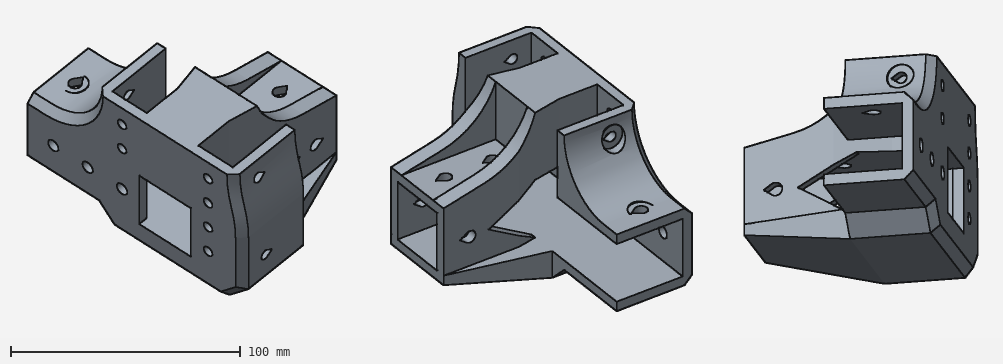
import cadquery as cq
import math


inner = 30.0
wall = 5.0
half_in = inner / 2
half_out = half_in + wall

body_depth = 40.0
total_depth = 90.0
top_z = 50.0
arm_end_x = -80.0
tower_half_width = 40.0
inner_wall_x = tower_half_width - wall
saddle_radius = 30.0
saddle_x = -tower_half_width - saddle_radius
bulge_x = 45.0
s_curve_end_z = 14.0
bottom_z = -29.0
bottom_right_x = 34.0
front_chamfer = 4.0

flange_left_x = -tower_half_width + (-half_out - bottom_z)
rib_width = 8.0
rib_tangent_y = 68.0
rib_tangent_z = 25.1
flare_root_y = 25.0
flare_end_y = 50.0
window_tip_y = body_depth + inner * math.sin(math.radians(60))

screw_d = 5.0
bolt_d = 6.0
counterbore_d = 12.0
screw_x = 25.0
screw_zs_left = (40.0, 25.0)
screw_zs_right = (40.0, 25.0, 10.0, -5.0)
bolt_xs = (-65.0, -45.0, -25.0)
side_screw_y = 15.0
side_screw_z_high = 40.0
side_screw_z_low = -5.0
arm_bolt_y = 20.0
tail_bolt_ys = (50.0, 75.0)
tail_cross_bolt_y = window_tip_y + 10.0
teardrop_tip_ratio = math.sqrt(3)


def box(x0, x1, y0, y1, z0, z1):
    """Box between two limits on each axis."""
    return cq.Workplane("XY").box(x1 - x0, y1 - y0, z1 - z0, centered=False).translate((x0, y0, z0))


def front_plane():
    """XZ sketch plane of the front face; negative extrusions go into the part."""
    return cq.Workplane("XZ")


def teardrop(diameter, length):
    """Hole along +Z whose point toward +Y is formed by two lines tangent to the circle."""
    r = diameter / 2
    tip_y = teardrop_tip_ratio * r
    tangent_y = r**2 / tip_y
    tangent_x = math.sqrt(r**2 - tangent_y**2)
    return (
        cq.Workplane("XY")
        .moveTo(0, tip_y)
        .lineTo(tangent_x, tangent_y)
        .threePointArc((0, -r), (-tangent_x, tangent_y))
        .close()
        .extrude(length)
    )


def teardrop_z(diameter, x, y, z0, z1):
    return teardrop(diameter, z1 - z0).translate((x, y, z0))


def teardrop_x(diameter, y, z, x0, x1):
    drop = teardrop(diameter, x1 - x0).rotate((0, 0, 0), (0, 1, 0), 90)
    return drop.translate((x0, y, z))


def body():
    """Front-to-back prism of the body outline, its front rim chamfered but for the two open ends."""
    s_dx = (bulge_x - tower_half_width) / 2
    s_dz = (top_z - s_curve_end_z) / 2
    s_radius = (s_dx**2 + s_dz**2) / (2 * s_dx)
    s_mid = (tower_half_width + s_dx, top_z - s_dz)
    saddle_offset = saddle_radius * math.sqrt(0.5)
    bottom_right_z = bottom_z + (bulge_x - bottom_right_x)
    solid = (
        front_plane()
        .moveTo(arm_end_x, -half_out)
        .lineTo(arm_end_x, half_out)
        .lineTo(saddle_x, half_out)
        .threePointArc(
            (saddle_x + saddle_offset, top_z - saddle_offset),
            (-tower_half_width, top_z),
        )
        .lineTo(tower_half_width, top_z)
        .radiusArc(s_mid, -s_radius)
        .radiusArc((bulge_x, s_curve_end_z), s_radius)
        .lineTo(bulge_x, bottom_right_z)
        .lineTo(bottom_right_x, bottom_z)
        .lineTo(flange_left_x, bottom_z)
        .lineTo(-tower_half_width, -half_out)
        .close()
        .extrude(-body_depth)
    )
    front_face = solid.faces("<Y")
    open_ends = front_face.edges("<X or >Z").vals()
    rim = [edge for edge in front_face.edges().vals() if not any(edge.isSame(end) for end in open_ends)]
    return solid.newObject(rim).chamfer(front_chamfer)


def pockets():
    """Two pockets, open at the top and back, on either side of the solid core."""
    left = box(-inner_wall_x, -half_in, wall, body_depth, -half_in, top_z)
    right = box(half_in, inner_wall_x, wall, body_depth, -half_in, top_z)
    return left.union(right)


def tail_plan():
    """Full-height block bounded by the flared tail sides."""
    return (
        cq.Workplane("XY", origin=(0, 0, -half_out))
        .moveTo(-half_in, flare_root_y)
        .lineTo(-half_out, flare_end_y)
        .lineTo(-half_out, total_depth)
        .lineTo(half_out, total_depth)
        .lineTo(half_out, flare_end_y)
        .lineTo(half_in, flare_root_y)
        .close()
        .extrude(top_z + half_out)
    )


def tail():
    """Square tube with two gusset ribs on top; the sides flare in toward the core."""
    slope = math.atan2(rib_tangent_z - half_out, total_depth - rib_tangent_y)
    chord_y = rib_tangent_y - body_depth
    chord_z = top_z - rib_tangent_z
    rise_off_line = chord_z * math.cos(slope) - chord_y * math.sin(slope)
    rib_radius = (chord_y**2 + chord_z**2) / (2 * rise_off_line)
    profile = (
        cq.Workplane("YZ", origin=(-half_out, 0, 0))
        .moveTo(flare_root_y, -half_out)
        .lineTo(flare_root_y, top_z)
        .lineTo(body_depth, top_z)
        .radiusArc((rib_tangent_y, rib_tangent_z), -rib_radius)
        .lineTo(total_depth, half_out)
        .lineTo(total_depth, -half_out)
        .close()
        .extrude(2 * half_out)
    )
    gap = half_out - rib_width
    between_ribs = box(-gap, gap, body_depth, total_depth, half_out, top_z)
    return profile.intersect(tail_plan()).cut(between_ribs)


def flange():
    """Tapered floor of the tail, wide and deep at the body, as wide as the tube at the back."""
    plan = (
        cq.Workplane("XY", origin=(0, 0, bottom_z))
        .polyline([
            (flange_left_x, body_depth),
            (-half_out, total_depth),
            (half_out, total_depth),
            (bottom_right_x, body_depth),
        ])
        .close()
        .extrude(-half_in - bottom_z)
    )
    side = (
        cq.Workplane("YZ", origin=(flange_left_x, 0, 0))
        .polyline([
            (body_depth, bottom_z),
            (body_depth, -half_in),
            (total_depth, -half_in),
            (total_depth, -half_out),
        ])
        .close()
        .extrude(bottom_right_x - flange_left_x)
    )
    return plan.intersect(side)


def tail_window():
    """Equilateral point of the arm channel, cut sideways through the tail."""
    return (
        cq.Workplane("YZ", origin=(-half_out, 0, 0))
        .polyline([
            (body_depth, -half_in),
            (body_depth, half_in),
            (window_tip_y, 0),
        ])
        .close()
        .extrude(2 * half_out)
    )


def front_holes():
    """Round holes through the front wall."""
    screws = [(-screw_x, z) for z in screw_zs_left] + [(screw_x, z) for z in screw_zs_right]
    bolts = [(x, 0) for x in bolt_xs]
    screw_holes = front_plane().pushPoints(screws).circle(screw_d / 2).extrude(-wall)
    bolt_holes = front_plane().pushPoints(bolts).circle(bolt_d / 2).extrude(-wall)
    return screw_holes.union(bolt_holes)


def saddle_counterbores():
    """Flat seats sunk into the saddle arc around its two holes."""
    r = counterbore_d / 2
    on_arm = (
        cq.Workplane("XY", origin=(saddle_x, arm_bolt_y, half_out)).circle(r).extrude(saddle_radius)
    )
    on_tower = (
        cq.Workplane("YZ", origin=(-tower_half_width, side_screw_y, side_screw_z_high))
        .circle(r)
        .extrude(-saddle_radius)
    )
    return on_arm.union(on_tower)


def teardrop_holes():
    """Pointed holes: one in the arm, one across the tail, three in the side walls, two in the tail top."""
    holes = [
        teardrop_z(bolt_d, saddle_x, arm_bolt_y, half_in, half_out),
        teardrop_x(bolt_d, tail_cross_bolt_y, 0, -half_out, half_out),
        teardrop_x(screw_d, side_screw_y, side_screw_z_high, -tower_half_width, -inner_wall_x),
        teardrop_x(screw_d, side_screw_y, side_screw_z_high, inner_wall_x, bulge_x),
        teardrop_x(screw_d, side_screw_y, side_screw_z_low, inner_wall_x, bulge_x),
    ]
    holes += [teardrop_z(bolt_d, 0, y, half_in, half_out) for y in tail_bolt_ys]
    return holes


bore = box(-half_in, half_in, 0, total_depth, -half_in, half_in)
arm_channel = box(arm_end_x, inner_wall_x, wall, body_depth, -half_in, half_in)

result = body().cut(pockets()).union(tail()).union(flange())
result = result.cut(bore).cut(arm_channel).cut(tail_window())
result = result.cut(front_holes()).cut(saddle_counterbores())
for hole in teardrop_holes():
    result = result.cut(hole)